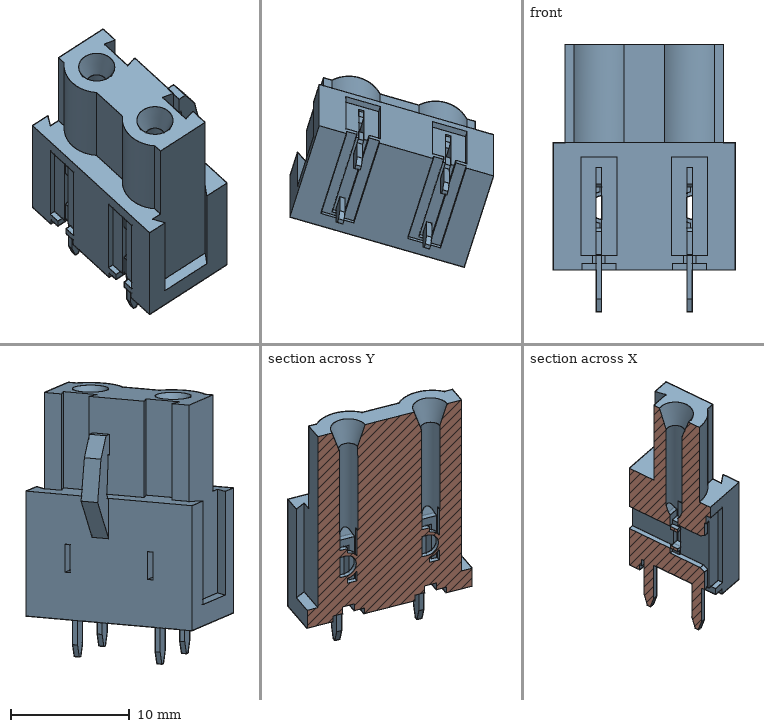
import cadquery as cq

total_height = 22.5
body_bottom = 3.5
body_top = 14.25

body_width = 15.35
body_depth = 8.5

tower_width = 13.36
tower_front = 2.02
tower_back = 6.93
bulge_half_width = 2.12
bulge_front = 1.15
dovetail_floor = 5.95
dovetail_half_mouth = 1.28
dovetail_half_floor = 1.53

channel_floor = 5.35
channel_outer_front = 1.7
channel_outer_back = 6.28

contact_pitch = 7.63
contact_xs = (-contact_pitch / 2, contact_pitch / 2)
contact_y = 3.82

socket_mouth_diameter = 3.04
bore_diameter = 1.66
socket_cone_depth = 2.0

recess_width = 3.04
recess_depth = 0.47
recess_bottom = 4.75
recess_top = 13.05
foot_width = 2.88
foot_top = 4.07
neck_width = 1.05
foot_cavity_back = 7.42
neck_cavity_back = 7.2

strip_thickness = 0.47
strip_front = 0.6
strip_bottom = 4.84
strip_top = 12.15
pin_width = 1.05
pin_fronts = (0.92, 5.95)
pin_taper_height = 1.1
pin_tip_width = 0.34

chamber_mid = 8.78
chamber_half_height = 1.73
chamber_width = 1.55
chamber_depth = 0.76
funnel_depth = 1.12
funnel_height = 0.68
throat_lip_height = 0.22
window_half_height = 2.0
window_lip_depth = 0.45
rear_slit_half_height = 1.2
spring_inner_radius = 1.0
spring_outer_radius = 1.33
spring_offset = 0.3
shoulder_left = 0.1

latch_left = 0.02
latch_right = 1.55
latch_root_depth = 0.22
latch_profile = [
    (8.37, 19.7),
    (9.05, 19.7),
    (10.08, 17.89),
    (10.75, 14.29),
    (body_depth, 10.78),
    (body_depth - latch_root_depth, 10.78),
    (body_depth - latch_root_depth, body_top),
    (8.68, body_top),
    (8.86, 14.65),
    (8.6, 17.95),
    (8.37, 17.95),
]


def box(x_range, y_range, z_range):
    """Axis-aligned block filling three (low, high) ranges."""
    size = [high - low for low, high in (x_range, y_range, z_range)]
    corner = (x_range[0], y_range[0], z_range[0])
    return cq.Workplane("XY").box(*size, centered=False).translate(corner)


def centred_range(centre, width):
    return (centre - width / 2, centre + width / 2)


def prism_along_x(points, x_range):
    """Extrude a closed (y, z) outline between two x positions."""
    sketch = cq.Workplane("YZ").workplane(offset=x_range[0])
    return sketch.polyline(points).close().extrude(x_range[1] - x_range[0])


def make_tower():
    half = tower_width / 2
    outline = cq.Workplane("XY").workplane(offset=body_top).moveTo(-half, tower_front)
    for x in contact_xs:
        outline = outline.lineTo(x - bulge_half_width, tower_front)
        outline = outline.threePointArc((x, bulge_front), (x + bulge_half_width, tower_front))
    outline = outline.lineTo(half, tower_front).lineTo(half, tower_back)
    for x in reversed(contact_xs):
        outline = outline.lineTo(x + dovetail_half_mouth, tower_back)
        outline = outline.lineTo(x + dovetail_half_floor, dovetail_floor)
        outline = outline.lineTo(x - dovetail_half_floor, dovetail_floor)
        outline = outline.lineTo(x - dovetail_half_mouth, tower_back)
    outline = outline.lineTo(-half, tower_back).close()
    return outline.extrude(total_height - body_top)


def make_end_channel():
    """Dovetailed channel in the right-hand end of the body."""
    points = [
        (tower_width / 2, bulge_front),
        (body_width / 2, channel_outer_front),
        (body_width / 2, channel_outer_back),
        (tower_width / 2, tower_back),
    ]
    sketch = cq.Workplane("XY").workplane(offset=channel_floor)
    return sketch.polyline(points).close().extrude(body_top - channel_floor)


def make_socket(x):
    """Conical mouth and round bore leading down to the contact strip."""
    mouth_radius = socket_mouth_diameter / 2
    bore_radius = bore_diameter / 2
    cone_bottom = total_height - socket_cone_depth
    profile = [
        (0, strip_top),
        (bore_radius, strip_top),
        (bore_radius, cone_bottom),
        (mouth_radius, total_height),
        (0, total_height),
    ]
    socket = cq.Workplane("XZ").polyline(profile).close().revolve(360, (0, 0), (0, 1))
    return socket.translate((x, contact_y, 0))


def make_front_cavity(x):
    """Front recess, strip slot and the stepped foot cavity open at the bottom."""
    strip_x = centred_range(x, strip_thickness)
    recess = box(centred_range(x, recess_width), (0, recess_depth), (recess_bottom, recess_top))
    slot = box(strip_x, (0, strip_front), (recess_bottom, strip_top))
    strip_bevel = prism_along_x(
        [(strip_front, recess_bottom), (strip_front, strip_bottom), (pin_fronts[0], recess_bottom)],
        strip_x,
    )
    neck = box(centred_range(x, neck_width), (0, neck_cavity_back), (foot_top, recess_bottom))
    foot = box(centred_range(x, foot_width), (0, foot_cavity_back), (body_bottom, foot_top))
    return recess.union(slot).union(strip_bevel).union(neck).union(foot)


def make_contact_chamber(x):
    """Chamber below the bore, with its lead-in and the slits to front and back."""
    chamber_x = centred_range(x, chamber_width)
    bottom = chamber_mid - chamber_half_height
    top = chamber_mid + chamber_half_height
    funnel_bottom = strip_top - funnel_height
    throat = funnel_bottom - throat_lip_height
    half_throat = chamber_depth / 2
    half_funnel = funnel_depth / 2
    bore_radius = bore_diameter / 2
    chamber = prism_along_x(
        [
            (contact_y - half_throat, bottom),
            (contact_y + half_throat, bottom),
            (contact_y + half_throat, throat),
            (contact_y + half_funnel, funnel_bottom),
            (contact_y + bore_radius, strip_top),
            (contact_y - bore_radius, strip_top),
            (contact_y - half_funnel, funnel_bottom),
            (contact_y - half_throat, throat),
        ],
        chamber_x,
    )
    bore_core = cq.Workplane("XY", origin=(x, contact_y, bottom)).circle(bore_radius)
    chamber = chamber.intersect(bore_core.extrude(strip_top - bottom))
    lip_back = strip_front + window_lip_depth
    window = prism_along_x(
        [
            (strip_front, chamber_mid - window_half_height),
            (lip_back, bottom),
            (contact_y, bottom),
            (contact_y, top),
            (lip_back, top),
            (strip_front, chamber_mid + window_half_height),
        ],
        centred_range(x, strip_thickness),
    )
    rear_slit = box(
        centred_range(x, strip_thickness),
        (contact_y, body_depth),
        centred_range(chamber_mid, 2 * rear_slit_half_height),
    )
    return chamber.union(window).union(rear_slit)


def make_spring(x):
    """Half-ring spring bowed toward -X, with a square shoulder closing each end."""
    spring_x = x + spring_offset
    y_range = centred_range(contact_y, chamber_depth)
    plane = cq.Workplane("XZ", origin=(spring_x, y_range[1], chamber_mid))
    ring = plane.circle(spring_outer_radius).circle(spring_inner_radius).extrude(chamber_depth)
    left_half = box(
        (spring_x - spring_outer_radius, spring_x),
        y_range,
        centred_range(chamber_mid, 2 * spring_outer_radius),
    )
    spring = ring.intersect(left_half)
    shoulder_x = (x + shoulder_left, x + chamber_width / 2)
    upper = (chamber_mid + spring_inner_radius, chamber_mid + chamber_half_height)
    lower = (chamber_mid - chamber_half_height, chamber_mid - spring_inner_radius)
    for z_range in (upper, lower):
        spring = spring.union(box(shoulder_x, y_range, z_range))
    return spring


def make_pin(x, front):
    """Flat pin with a tapered tip, rising from z = 0 into the strip."""
    back = front + pin_width
    tip_inset = (pin_width - pin_tip_width) / 2
    points = [
        (front + tip_inset, 0),
        (back - tip_inset, 0),
        (back, pin_taper_height),
        (back, strip_bottom),
        (front, strip_bottom),
        (front, pin_taper_height),
    ]
    return prism_along_x(points, centred_range(x, strip_thickness))


body = box(centred_range(0, body_width), (0, body_depth), (body_bottom, body_top))
result = body.union(make_tower())

right_channel = make_end_channel()
result = result.cut(right_channel).cut(right_channel.mirror("YZ"))

for contact_x in contact_xs:
    result = result.cut(make_socket(contact_x))
    result = result.cut(make_front_cavity(contact_x))
    result = result.cut(make_contact_chamber(contact_x))
    result = result.union(make_spring(contact_x))
    for pin_front in pin_fronts:
        result = result.union(make_pin(contact_x, pin_front))

result = result.union(prism_along_x(latch_profile, (latch_left, latch_right)))